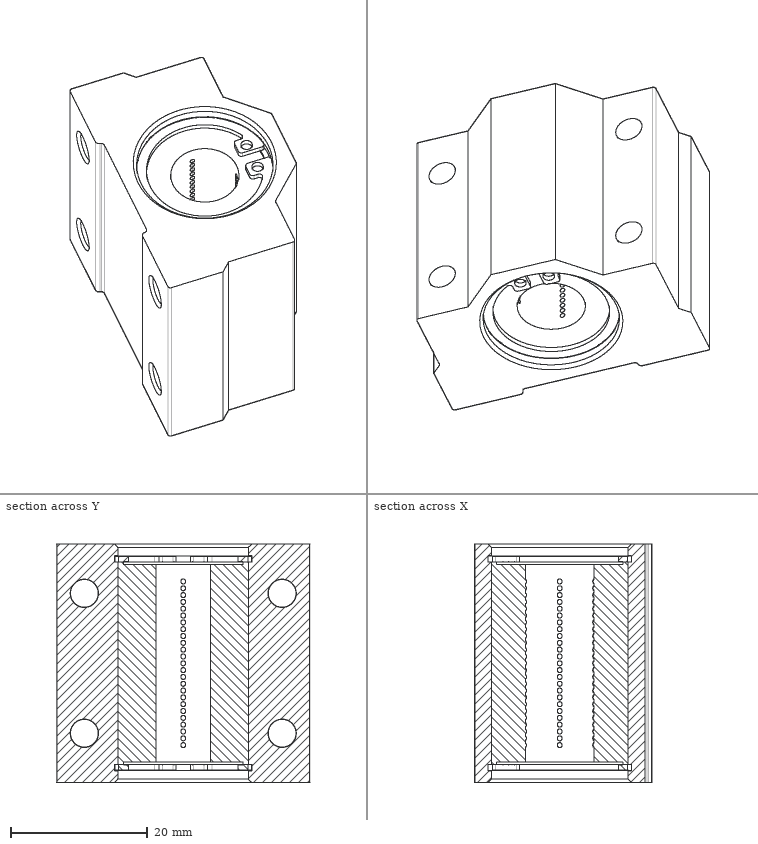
import cadquery as cq
import math


WIDTH = 40.0
HEIGHT = 26.0
LENGTH = 35.0
BORE_HEIGHT = 13.5
HEEL_HEIGHT = 8.55
SIDE_STEP = 1.45
SHOULDER_HEIGHT = 20.5
CROWN_WIDTH = 10.0
CORNER_RADIUS = 0.4

RELIEF_WIDTH = 16.9
RELIEF_DEPTH = 1.0
RELIEF_ROOT_WIDTH = 0.45
RELIEF_ROOT_RISE = 0.3
RELIEF_WALL_DRAFT = 0.1
RELIEF_LIP_WIDTH = 0.55
RELIEF_LIP_RISE = 0.5

BORE_RADIUS = 10.0
BORE_MOUTH_DIAMETER = 21.0
GROOVE_RADIUS = 10.5
GROOVE_INSET = 1.75
GROOVE_WIDTH = 0.9

HOLE_DIAMETER = 4.1
HOLE_MOUTH_DIAMETER = 5.0
HOLE_SPACING_X = 29.0
HOLE_SPACING_Z = 20.5

RING_THICKNESS = 0.8
RING_OUTER_RADIUS = BORE_RADIUS
RING_INNER_RADIUS = 8.55
RING_GAP = 2.1
RING_FILLET = 0.5
LUG_WIDTH = 2.5
LUG_TIP_RADIUS = 5.9
LUG_HOLE_DIAMETER = 1.7
LUG_HOLE_SPACING = 4.4
LUG_HOLE_HEIGHT = 7.45

SHAFT_RADIUS = 5.0
RIM_INNER_RADIUS = 9.25
RIM_HEIGHT = 0.35
BALL_DIAMETER = 1.0
BALL_PROTRUSION = 0.15
BALLS_PER_ROW = 25
BALL_ROWS = 4

HALF_LENGTH = LENGTH / 2
BASE_Y = -BORE_HEIGHT
BEARING_END_Z = HALF_LENGTH - GROOVE_INSET - GROOVE_WIDTH
BEARING_LENGTH = 2 * BEARING_END_Z
BORE_CHAMFER = BORE_MOUTH_DIAMETER / 2 - BORE_RADIUS
BALL_RADIUS = BALL_DIAMETER / 2


def cylinder(radius, bottom, height):
    """Cylinder on the bore axis."""
    return cq.Workplane("XY").workplane(offset=bottom).circle(radius).extrude(height)


def both_ends(shape):
    """The shape at the +Z end together with its mirror image at the -Z end."""
    return [shape, shape.mirror("XY")]


def make_block():
    """Solid block with rounded foot and shoulder corners."""
    half_foot = WIDTH / 2
    half_body = half_foot - SIDE_STEP
    half_crown = CROWN_WIDTH / 2
    half_slope = half_crown + HEIGHT - SHOULDER_HEIGHT
    shoulder_y = BASE_Y + SHOULDER_HEIGHT
    right_side = [
        (half_foot, BASE_Y),
        (half_foot, BASE_Y + HEEL_HEIGHT),
        (half_body, BASE_Y + HEEL_HEIGHT + SIDE_STEP),
        (half_body, shoulder_y),
        (half_slope, shoulder_y),
        (half_crown, BASE_Y + HEIGHT),
    ]
    left_side = [(-x, y) for x, y in reversed(right_side)]
    block = cq.Workplane("XY").polyline(right_side + left_side).close().extrude(HALF_LENGTH, both=True)
    for x, y in [(half_foot, BASE_Y), (half_body, shoulder_y)]:
        for corner_x in (-x, x):
            corner = cq.selectors.NearestToPointSelector((corner_x, y, 0))
            block = block.edges(corner).fillet(CORNER_RADIUS)
    return block


def tangent_arc_radius(run, rise):
    """Radius of an arc that starts level and climbs by rise over a horizontal run."""
    return (run**2 + rise**2) / (2 * rise)


def make_relief_cutter():
    """Shallow channel with a rounded lip, a steep wall and a blended root on each side."""
    floor_y = BASE_Y + RELIEF_DEPTH
    root_y = floor_y - RELIEF_ROOT_RISE
    lip_y = BASE_Y + RELIEF_LIP_RISE
    floor_x = RELIEF_WIDTH / 2
    root_x = floor_x + RELIEF_ROOT_WIDTH
    lip_x = root_x + RELIEF_WALL_DRAFT
    face_x = lip_x + RELIEF_LIP_WIDTH
    root_radius = tangent_arc_radius(RELIEF_ROOT_WIDTH, RELIEF_ROOT_RISE)
    lip_radius = tangent_arc_radius(RELIEF_LIP_WIDTH, RELIEF_LIP_RISE)
    outline = (
        cq.Workplane("XY")
        .moveTo(-face_x, BASE_Y)
        .lineTo(face_x, BASE_Y)
        .radiusArc((lip_x, lip_y), lip_radius)
        .lineTo(root_x, root_y)
        .radiusArc((floor_x, floor_y), -root_radius)
        .lineTo(-floor_x, floor_y)
        .radiusArc((-root_x, root_y), -root_radius)
        .lineTo(-lip_x, lip_y)
        .radiusArc((-face_x, BASE_Y), lip_radius)
        .close()
    )
    return outline.extrude(HALF_LENGTH, both=True)


def make_bore_cutter():
    """Through bore with a chamfered mouth and a snap ring groove at each end."""
    cutter = cylinder(BORE_RADIUS, -HALF_LENGTH, LENGTH)
    mouth = cq.Workplane(cq.Solid.makeCone(
        BORE_RADIUS, BORE_RADIUS + BORE_CHAMFER, BORE_CHAMFER,
        cq.Vector(0, 0, HALF_LENGTH - BORE_CHAMFER)))
    groove = cylinder(GROOVE_RADIUS, BEARING_END_Z, GROOVE_WIDTH)
    for widening in both_ends(mouth) + both_ends(groove):
        cutter = cutter.union(widening)
    return cutter


def make_mounting_hole_cutter(x, z):
    """Through hole along Y, countersunk at the mounting face."""
    mouth_depth = (HOLE_MOUTH_DIAMETER - HOLE_DIAMETER) / 2
    mouth_center = cq.Vector(x, BASE_Y, z)
    along_y = cq.Vector(0, 1, 0)
    cone = cq.Solid.makeCone(HOLE_MOUTH_DIAMETER / 2, HOLE_DIAMETER / 2, mouth_depth, mouth_center, along_y)
    shank = cq.Solid.makeCylinder(HOLE_DIAMETER / 2, HEIGHT, mouth_center, along_y)
    return cq.Workplane(cone.fuse(shank))


def make_housing():
    """Block with its relief channel, bore and four mounting holes."""
    housing = make_block().cut(make_relief_cutter()).cut(make_bore_cutter())
    for x in (-HOLE_SPACING_X / 2, HOLE_SPACING_X / 2):
        for z in (-HOLE_SPACING_Z / 2, HOLE_SPACING_Z / 2):
            housing = housing.cut(make_mounting_hole_cutter(x, z))
    return housing


def make_balls():
    """Four rows of touching balls, sunk into the sleeve around the shaft bore."""
    pitch = BALL_DIAMETER
    center_radius = SHAFT_RADIUS - BALL_PROTRUSION + BALL_RADIUS
    first_z = -pitch * (BALLS_PER_ROW - 1) / 2
    balls = []
    for row in range(BALL_ROWS):
        angle = 2 * math.pi * row / BALL_ROWS
        x = center_radius * math.cos(angle)
        y = center_radius * math.sin(angle)
        for i in range(BALLS_PER_ROW):
            center = cq.Vector(x, y, first_z + i * pitch)
            balls.append(cq.Solid.makeSphere(BALL_RADIUS, center, angleDegrees1=-90))
    return balls


def make_bearing():
    """Bearing sleeve with recessed ends, in one piece with its rows of balls."""
    sleeve = cylinder(BORE_RADIUS, -BEARING_END_Z, BEARING_LENGTH)
    sleeve = sleeve.cut(cylinder(SHAFT_RADIUS, -BEARING_END_Z, BEARING_LENGTH))
    recess = cylinder(RIM_INNER_RADIUS, BEARING_END_Z - RIM_HEIGHT, RIM_HEIGHT)
    for end_recess in both_ends(recess):
        sleeve = sleeve.cut(end_recess)
    return cq.Workplane(sleeve.val().fuse(*make_balls()))


def make_snap_ring():
    """Split ring with two drilled lugs, seated on the bearing rim at the +Z end."""
    plane = cq.Workplane("XY").workplane(offset=BEARING_END_Z)
    ring = plane.circle(RING_OUTER_RADIUS).circle(RING_INNER_RADIUS).extrude(RING_THICKNESS)

    band_middle = (RING_INNER_RADIUS + RING_OUTER_RADIUS) / 2
    strip = (
        plane.center(0, (LUG_TIP_RADIUS + band_middle) / 2)
        .rect(RING_GAP + 2 * LUG_WIDTH, band_middle - LUG_TIP_RADIUS)
        .extrude(RING_THICKNESS)
    )
    gap = (
        plane.center(0, RING_OUTER_RADIUS)
        .rect(RING_GAP, 2 * (RING_OUTER_RADIUS - SHAFT_RADIUS))
        .extrude(RING_THICKNESS)
    )
    ring = ring.union(strip).cut(gap)

    lug_corners = cq.selectors.BoxSelector(
        (-RING_OUTER_RADIUS, SHAFT_RADIUS, 0), (RING_OUTER_RADIUS, RING_OUTER_RADIUS, HALF_LENGTH))
    ring = ring.edges("|Z").edges(lug_corners).fillet(RING_FILLET)

    hole_x = LUG_HOLE_SPACING / 2
    holes = plane.pushPoints([(-hole_x, LUG_HOLE_HEIGHT), (hole_x, LUG_HOLE_HEIGHT)])
    return ring.cut(holes.circle(LUG_HOLE_DIAMETER / 2).extrude(RING_THICKNESS))


housing = make_housing()
bearing = make_bearing()
snap_rings = both_ends(make_snap_ring())

result = cq.Compound.makeCompound([
    housing.solids().val(),
    bearing.solids().val(),
    *[ring.solids().val() for ring in snap_rings],
])